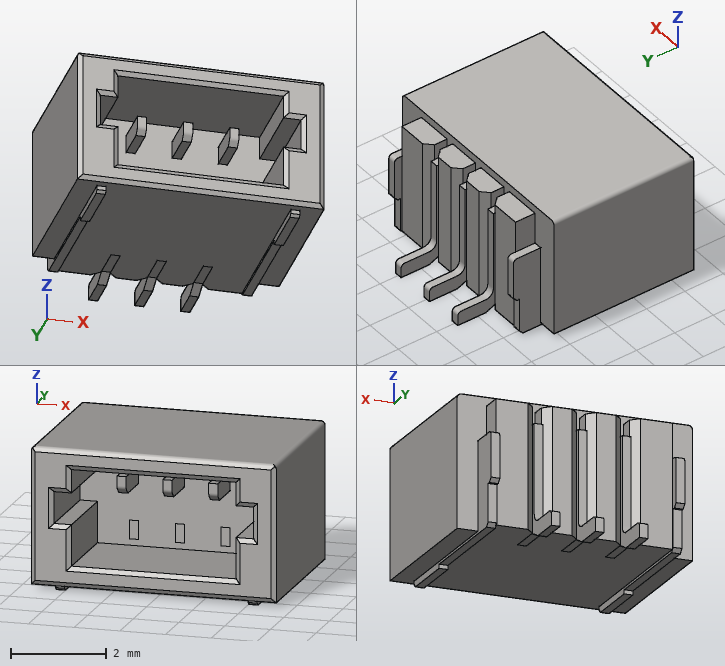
import cadquery as cq


HOUSING_WIDTH = 5.36
HOUSING_DEPTH = 3.705
HOUSING_HEIGHT = 3.0
TOP_EDGE_RADIUS = 0.095
CHAMFER_WIDTH = 0.1
CHAMFER_DEPTH = 0.06

CAVITY_DEPTH = 2.0
CAVITY_HALF_WIDTH = 1.8
CAVITY_BOTTOM = 0.455
CAVITY_TOP = 2.555
KEY_HALF_WIDTH = 2.18
KEY_BOTTOM = 1.355
KEY_TOP = 2.05

SHEET = 0.2
METAL_CORNER_RADIUS = 0.095
SOLDER_PLANE = -0.15

CONTACT_COUNT = 3
CONTACT_PITCH = 1.0
TAIL_END = 5.05
TAIL_TOP = 0.2
TAIL_BEND_RADIUS = 0.2
TAIL_FOOT_START = 4.32
SPINE_REAR = TAIL_FOOT_START - TAIL_BEND_RADIUS
SPINE_BOTTOM_REAR = 3.99
SPINE_FRONT = 3.215
SHOULDER_FRONT = 3.79
SHOULDER_TOP = 2.41
PIN_TOP = 2.205
PIN_BOTTOM = 1.81
PIN_TIP = 1.07
PIN_TAPER_START = 1.2
PIN_TIP_HEIGHT = 0.26
PIN_TIP_RADIUS = 0.11
BARB_TOP = 1.0
BARB_BOTTOM = 0.595
BARB_TIP = CAVITY_DEPTH

NAIL_OFFSET = 2.105
NAIL_REAR = 4.41
NAIL_TOP = 2.01
NAIL_LOWER_REAR = 4.255
NAIL_STEP = 0.885
NAIL_STEP_CHAMFER = 0.09
NAIL_PLATE_FRONT = 3.215
NAIL_RAIL_TOP = 0.19
NAIL_RAIL_BOTTOM = -0.06
NAIL_FOOT_REAR = 1.595
NAIL_FRONT = 0.245
NAIL_FOOT_CHAMFER = 0.06

BLOCK_REAR = 4.215
BLOCK_TOP = 2.81
BLOCK_HALF_WIDTH = NAIL_OFFSET - SHEET / 2
LEAD_IN = 0.18

contact_places = [(i - (CONTACT_COUNT - 1) / 2) * CONTACT_PITCH for i in range(CONTACT_COUNT)]
nail_places = [-NAIL_OFFSET, NAIL_OFFSET]


def sheet_metal(side_profile, x):
    """Give a side profile (local x = Y, local y = Z) the sheet thickness, centred on x."""
    return side_profile.close().extrude(SHEET / 2, both=True).translate((x, 0, 0))


def make_contact(x):
    """One contact: solder tail, upright spine, mating pin above and retention barb below."""
    profile = (
        cq.Workplane("YZ")
        .moveTo(TAIL_END, SOLDER_PLANE)
        .lineTo(TAIL_END, TAIL_TOP - METAL_CORNER_RADIUS)
        .radiusArc((TAIL_END - METAL_CORNER_RADIUS, TAIL_TOP), -METAL_CORNER_RADIUS)
        .lineTo(TAIL_FOOT_START, TAIL_TOP)
        .radiusArc((SPINE_REAR, TAIL_TOP + TAIL_BEND_RADIUS), TAIL_BEND_RADIUS)
        .lineTo(SPINE_REAR, SHOULDER_TOP)
        .lineTo(SHOULDER_FRONT, SHOULDER_TOP)
        .lineTo(SHOULDER_FRONT, PIN_TOP)
        .lineTo(PIN_TIP, PIN_TOP)
        .lineTo(PIN_TIP, PIN_TOP - PIN_TIP_HEIGHT)
        .lineTo(PIN_TAPER_START, PIN_BOTTOM)
        .lineTo(SPINE_FRONT, PIN_BOTTOM)
        .lineTo(SPINE_FRONT, BARB_TOP)
        .lineTo(BARB_TIP, BARB_TOP)
        .lineTo(BARB_TIP, BARB_BOTTOM)
        .lineTo(SPINE_FRONT, BARB_BOTTOM)
        .lineTo(SPINE_FRONT, 0)
        .lineTo(SPINE_BOTTOM_REAR, 0)
        .lineTo(TAIL_FOOT_START, SOLDER_PLANE)
    )
    tip_corner = cq.selectors.NearestToPointSelector((x, PIN_TIP, PIN_TOP - PIN_TIP_HEIGHT))
    return sheet_metal(profile, x).edges("|X").edges(tip_corner).fillet(PIN_TIP_RADIUS)


def make_nail(x):
    """One solder nail: rear plate, rail along the underside and solder foot near the front."""
    profile = (
        cq.Workplane("YZ")
        .moveTo(NAIL_PLATE_FRONT, NAIL_TOP)
        .lineTo(NAIL_REAR - METAL_CORNER_RADIUS, NAIL_TOP)
        .radiusArc((NAIL_REAR, NAIL_TOP - METAL_CORNER_RADIUS), METAL_CORNER_RADIUS)
        .lineTo(NAIL_REAR, NAIL_STEP + NAIL_STEP_CHAMFER)
        .lineTo(NAIL_REAR - NAIL_STEP_CHAMFER, NAIL_STEP)
        .lineTo(NAIL_LOWER_REAR, NAIL_STEP)
        .lineTo(NAIL_LOWER_REAR, NAIL_RAIL_BOTTOM + NAIL_STEP_CHAMFER)
        .lineTo(NAIL_LOWER_REAR - NAIL_STEP_CHAMFER, NAIL_RAIL_BOTTOM)
        .lineTo(NAIL_FOOT_REAR, NAIL_RAIL_BOTTOM)
        .lineTo(NAIL_FOOT_REAR, SOLDER_PLANE)
        .lineTo(NAIL_FRONT + NAIL_FOOT_CHAMFER, SOLDER_PLANE)
        .lineTo(NAIL_FRONT, SOLDER_PLANE + NAIL_FOOT_CHAMFER)
        .lineTo(NAIL_FRONT, NAIL_RAIL_TOP)
        .lineTo(NAIL_PLATE_FRONT, NAIL_RAIL_TOP)
    )
    return sheet_metal(profile, x)


def box_between(x_min, x_max, y_min, y_max, z_min, z_max):
    """An axis-aligned box given by its limits."""
    size = (x_max - x_min, y_max - y_min, z_max - z_min)
    return cq.Workplane("XY").box(*size, centered=False).translate((x_min, y_min, z_min))


def make_shell():
    """Solid housing with a chamfered mating face and rounded upper edges."""
    half_width = HOUSING_WIDTH / 2
    shell = box_between(-half_width, half_width, 0, HOUSING_DEPTH, 0, HOUSING_HEIGHT)
    shell = shell.edges("|Y and >Z").fillet(TOP_EDGE_RADIUS)

    side_profile = (
        cq.Workplane("YZ")
        .moveTo(HOUSING_DEPTH, 0)
        .lineTo(CHAMFER_DEPTH, 0)
        .lineTo(0, CHAMFER_WIDTH)
        .lineTo(0, HOUSING_HEIGHT - CHAMFER_WIDTH)
        .lineTo(CHAMFER_DEPTH, HOUSING_HEIGHT)
        .lineTo(HOUSING_DEPTH, HOUSING_HEIGHT)
        .close()
        .extrude(half_width, both=True)
    )
    top_front_edge = cq.selectors.NearestToPointSelector((0, CHAMFER_DEPTH, HOUSING_HEIGHT))
    side_profile = side_profile.edges("|X").edges(top_front_edge).fillet(TOP_EDGE_RADIUS)

    plan_profile = (
        cq.Workplane("XY")
        .moveTo(-half_width, HOUSING_DEPTH)
        .lineTo(-half_width, CHAMFER_DEPTH)
        .lineTo(-half_width + CHAMFER_WIDTH, 0)
        .lineTo(half_width - CHAMFER_WIDTH, 0)
        .lineTo(half_width, CHAMFER_DEPTH)
        .lineTo(half_width, HOUSING_DEPTH)
        .close()
        .extrude(HOUSING_HEIGHT)
    )
    return shell.intersect(side_profile).intersect(plan_profile)


def chamfered_pocket(half_width, bottom, top):
    """Cutter for a rectangular pocket in the mating face, flared at its mouth."""
    pocket = box_between(-half_width, half_width, 0, CAVITY_DEPTH, bottom, top)
    mouth = (
        cq.Workplane("XZ", origin=(0, 0, (bottom + top) / 2))
        .rect(2 * (half_width + CHAMFER_WIDTH), top - bottom + 2 * CHAMFER_WIDTH)
        .workplane(offset=-CHAMFER_DEPTH)
        .rect(2 * half_width, top - bottom)
        .loft(ruled=True)
    )
    return pocket.union(mouth)


def make_cavity():
    """Cutter for the mating cavity: main opening and the key slots beside it."""
    main = chamfered_pocket(CAVITY_HALF_WIDTH, CAVITY_BOTTOM, CAVITY_TOP)
    keys = chamfered_pocket(KEY_HALF_WIDTH, KEY_BOTTOM, KEY_TOP)
    return main.union(keys)


def make_block():
    """Rear block with a contact slot and a V lead-in at each contact."""
    block = box_between(-BLOCK_HALF_WIDTH, BLOCK_HALF_WIDTH, HOUSING_DEPTH, BLOCK_REAR, 0, BLOCK_TOP)
    for x in contact_places:
        slot = box_between(x - SHEET / 2, x + SHEET / 2, HOUSING_DEPTH, BLOCK_REAR, 0, BLOCK_TOP)
        lead_in = (
            cq.Workplane("XY")
            .moveTo(x - SHEET / 2 - LEAD_IN, BLOCK_REAR)
            .lineTo(x - SHEET / 2, BLOCK_REAR - LEAD_IN)
            .lineTo(x + SHEET / 2, BLOCK_REAR - LEAD_IN)
            .lineTo(x + SHEET / 2 + LEAD_IN, BLOCK_REAR)
            .close()
            .extrude(BLOCK_TOP)
        )
        block = block.cut(slot).cut(lead_in)
    return block


def make_housing(inserts):
    """Housing with its rear block, cut to fit the metal parts pressed into it."""
    housing = make_shell().union(make_block()).cut(make_cavity())
    for insert in inserts:
        housing = housing.cut(insert)
    return housing


contacts = [make_contact(x) for x in contact_places]
nails = [make_nail(x) for x in nail_places]
housing = make_housing(contacts + nails)
result = cq.Compound.makeCompound([housing.val()] + [insert.val() for insert in contacts + nails])